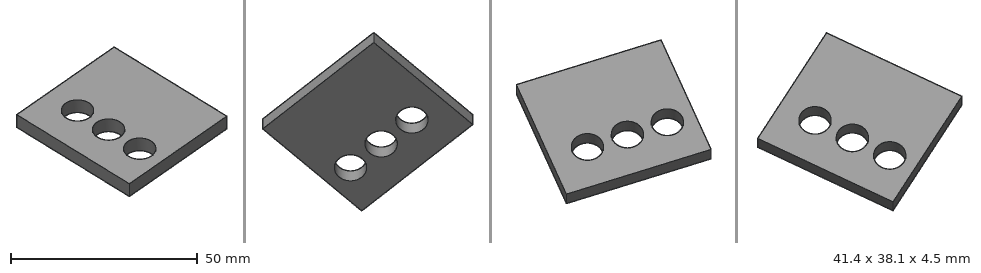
import cadquery as cq

length = 41.4
width = 38.1
thickness = 4.5

hole_diameter = 8.65
hole_count = 3
hole_pitch = 11.43
first_hole_from_left = 10.7
row_from_front = 12.4

plate = cq.Workplane("XY").box(length, width, thickness, centered=False)

hole_centers = [
    (first_hole_from_left + index * hole_pitch, row_from_front)
    for index in range(hole_count)
]
holes = (
    cq.Workplane("XY")
    .pushPoints(hole_centers)
    .circle(hole_diameter / 2)
    .extrude(thickness)
)

result = plate.cut(holes)